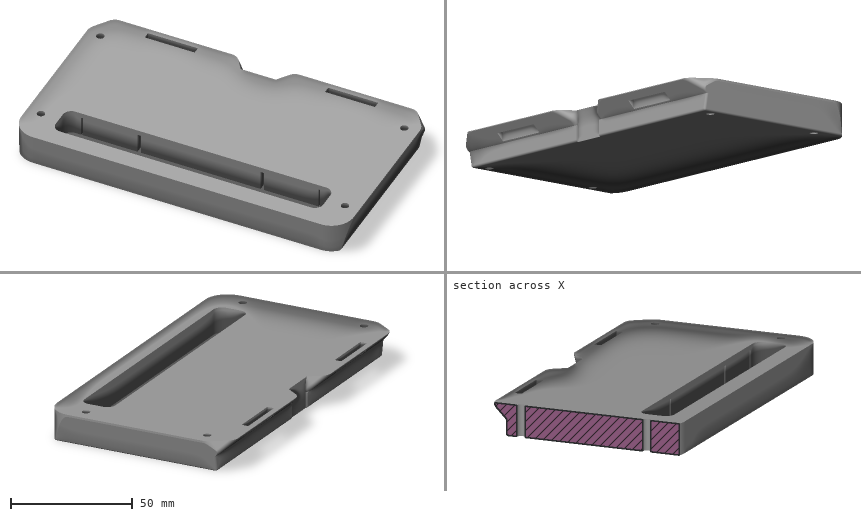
import cadquery as cq
import math

length = 151.4
width = 84.2
height = 13.5

front_corner_radius = 10.1
side_lip_height = 0.9
side_inset = 2.5
edge_radius = 0.9

flap_reach = 6.2
flap_lip_height = 0.3
gap_width = 14.0
flap_corner_cut = 6.8
gap_corner_cut = 6.0
flap_tip_radius = 7.5
flap_side_radius = 4.0
flap_edge_radius = 1.7
flap_root_reach = 13.6
plate_size = 22.7
strap_slot_length = 22.7
strap_slot_width = 3.0
strap_slot_x = 41.0
strap_slot_inset = 2.5

hole_diameter = 3.5
hole_pitch_x = 138.3
hole_pitch_y = 56.2
hole_front_offset = 15.3

pocket_length = 121.7
pocket_width = 14.4
pocket_front_offset = 8.2
pocket_corner_radius = 3.8
floor_thickness = 2.3
groove_top_cover = 2.3
groove_depth = 3.0
inner_groove_x = 28.0
inner_groove_width = 1.5
outer_groove_x = 54.0
outer_groove_width = 0.8

half_length = length / 2
half_gap = gap_width / 2
rear_wall_y = width - flap_reach
pocket_rear_y = pocket_front_offset + pocket_width
gap_y = rear_wall_y - edge_radius
flap_tip_z = height - flap_lip_height
flap_root_y = width - flap_root_reach
flap_root_z = flap_tip_z - flap_reach


def box(x_min, x_max, y_min, y_max, z_min, z_max):
    """Box between two opposite corners."""
    size = (x_max - x_min, y_max - y_min, z_max - z_min)
    return cq.Workplane("XY").box(*size, centered=False).translate((x_min, y_min, z_min))


def make_prism():
    """Full-length bar with upright lips above leaning sides."""
    half_bottom = half_length - side_inset
    lip_z = height - side_lip_height
    cross_section = [
        (-half_bottom, 0),
        (half_bottom, 0),
        (half_length, lip_z),
        (half_length, height),
        (-half_length, height),
        (-half_length, lip_z),
    ]
    return cq.Workplane("XZ").polyline(cross_section).close().extrude(-width)


def make_block(prism):
    """Main block, up to the rear wall, with its corners and edges rounded."""
    blank = box(-half_length, half_length, 0, rear_wall_y, 0, height)
    blank = blank.edges("|Z and <Y").fillet(front_corner_radius)
    block = prism.intersect(blank)
    side_bottom_edges = block.faces("<Z").edges("|Y")
    rear_edges = block.faces(">Y").edges("not |X").edges("not |Z")
    rear_bottom_edge = block.faces(">Y").edges("<Z")
    return block.newObject(
        side_bottom_edges.vals() + rear_edges.vals() + rear_bottom_edge.vals()
    ).fillet(edge_radius)


def make_flap_plate():
    """Right-hand flap as a thick plate standing square on the slanted underside.

    Local x runs along X and local y runs down the 45 degree slope from the tip.
    The tip overshoots, so that its rounded lower edge falls outside the part.
    """
    square_to_slope = cq.Vector(0, 1, -1)
    up_slope = cq.Vector(0, 1, 1)
    slope_plane = cq.Plane(origin=(0, width, flap_tip_z), xDir=(1, 0, 0), normal=square_to_slope)
    top_y = -flap_lip_height / math.sqrt(2)
    tip_y = -flap_edge_radius
    side_y = top_y + flap_corner_cut
    gap_side_y = top_y + gap_corner_cut
    outline = [
        (half_gap, plate_size),
        (half_gap, gap_side_y),
        (half_gap + gap_side_y - tip_y, tip_y),
        (half_length - side_y + tip_y, tip_y),
        (half_length, side_y),
        (half_length, plate_size),
    ]
    plate = cq.Workplane(slope_plane).polyline(outline).close().extrude(-plate_size)

    tip = cq.selectors.DirectionMinMaxSelector(up_slope)
    upright = cq.selectors.ParallelDirSelector(square_to_slope)
    underside = cq.selectors.DirectionMinMaxSelector(square_to_slope)
    plate = plate.faces(tip).edges(upright).fillet(flap_tip_radius)
    plate = plate.faces("<X or >X").edges(upright).fillet(flap_side_radius)
    return plate.faces(underside).edges().fillet(flap_edge_radius)


def make_flaps(prism):
    """Both rear flaps, trimmed to the block's sides, top and overall width."""
    region = box(-half_length, half_length, flap_root_y, width, flap_root_z, height)
    plate = make_flap_plate()
    return prism.intersect(region).intersect(plate.union(plate.mirror("YZ")))


prism = make_prism()
block = make_block(prism)
rear_strip = box(-half_length, half_length, flap_root_y, width, flap_root_z, height)
web_half = half_gap + flap_root_reach
web = box(-web_half, web_half, flap_root_y, gap_y, flap_root_z, height)
gap = box(-half_gap, half_gap, gap_y, width, 0, height)
body = block.cut(rear_strip).union(make_flaps(prism)).union(web).cut(gap)

slot_y = width - strap_slot_inset - strap_slot_width / 2
strap_slots = (
    cq.Workplane("XY")
    .pushPoints([(-strap_slot_x, slot_y), (strap_slot_x, slot_y)])
    .rect(strap_slot_length, strap_slot_width)
    .extrude(height)
)

holes = (
    cq.Workplane("XY")
    .center(0, hole_front_offset + hole_pitch_y / 2)
    .rect(hole_pitch_x, hole_pitch_y, forConstruction=True)
    .vertices()
    .circle(hole_diameter / 2)
    .extrude(height)
)

pocket = box(
    -pocket_length / 2, pocket_length / 2, pocket_front_offset, pocket_rear_y, floor_thickness, height
)
pocket = pocket.edges("|Z").fillet(pocket_corner_radius)
for groove_x, groove_width in (
    (inner_groove_x, inner_groove_width),
    (outer_groove_x, outer_groove_width),
):
    for x in (-groove_x, groove_x):
        groove = box(
            x - groove_width / 2,
            x + groove_width / 2,
            pocket_rear_y - groove_depth,
            pocket_rear_y + groove_depth,
            floor_thickness,
            height - groove_top_cover,
        )
        pocket = pocket.union(groove)

result = body.cut(strap_slots).cut(holes).cut(pocket)